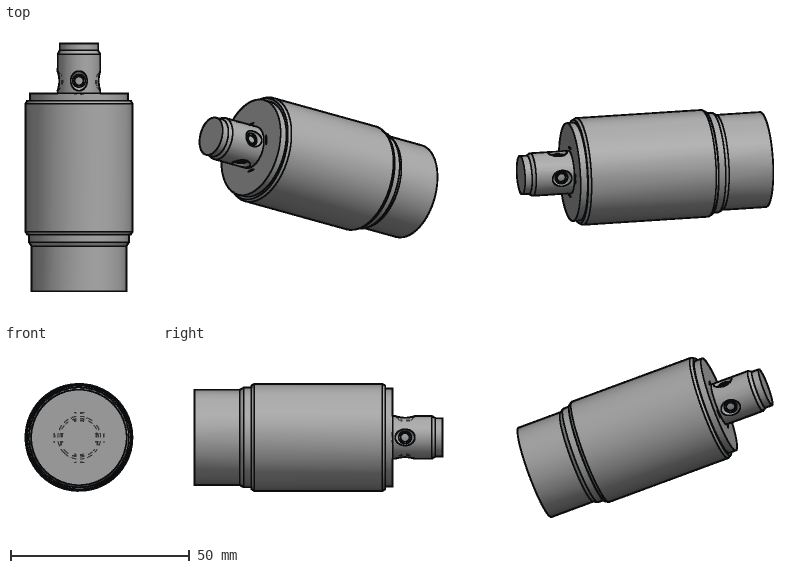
import cadquery as cq
import math

total_length = 69.4

nose_radius = 13.35
collar_radius = 14.0
body_radius = 15.0
shoulder_radius = 13.75
plug_radius = 6.0
plug_tip_radius = 5.4

nose_length = 12.7
collar_length = 3.2
body_length = 37.5
shoulder_length = 2.0
plug_tip_length = 2.0

chamfer_slope = math.tan(math.radians(30))
body_chamfer_depth = 0.5
body_chamfer_length = body_chamfer_depth / chamfer_slope
collar_chamfer_length = (collar_radius - nose_radius) / chamfer_slope
plug_chamfer_length = (plug_radius - plug_tip_radius) / chamfer_slope

window_count = 4
window_from_tip = 10.5
window_floor_radius = 1.75
window_floor_height = 5.0
window_cone_angle = 45
socket_radius = 1.25
core_radius = 4.75

collar_end = nose_length + collar_length
body_end = collar_end + body_length
shoulder_end = body_end + shoulder_length
plug_tip_start = total_length - plug_tip_length
window_y = total_length - window_from_tip


def turned_body():
    """Revolve the stepped half profile about the Y axis."""
    body_edge_radius = body_radius - body_chamfer_depth
    profile = [
        (0, 0),
        (nose_radius, 0),
        (nose_radius, nose_length),
        (collar_radius, nose_length + collar_chamfer_length),
        (collar_radius, collar_end),
        (body_edge_radius, collar_end),
        (body_radius, collar_end + body_chamfer_length),
        (body_radius, body_end - body_chamfer_length),
        (body_edge_radius, body_end),
        (shoulder_radius, body_end),
        (shoulder_radius, shoulder_end),
        (plug_radius, shoulder_end),
        (plug_radius, plug_tip_start - plug_chamfer_length),
        (plug_tip_radius, plug_tip_start),
        (plug_tip_radius, total_length),
        (0, total_length),
    ]
    return cq.Workplane("XY").polyline(profile).close().revolve(360, (0, 0, 0), (0, 1, 0))


def window_cutter():
    """Cone that opens toward +Z, with a round socket below its flat floor."""
    cone_height = 2 * (plug_radius - window_floor_height)
    cone_top_radius = window_floor_radius + cone_height * math.tan(math.radians(window_cone_angle))
    window_centre = cq.Vector(0, window_y, window_floor_height)
    cone = cq.Solid.makeCone(
        window_floor_radius, cone_top_radius, cone_height, window_centre, cq.Vector(0, 0, 1)
    )
    socket = cq.Workplane("XY", origin=(0, window_y, 0)).circle(socket_radius).extrude(window_floor_height)
    core = cq.Workplane("XZ", origin=(0, window_y, 0)).circle(core_radius)
    core = core.extrude(2 * socket_radius, both=True)
    return socket.cut(core).union(cq.Workplane(cone))


result = turned_body()
for index in range(window_count):
    turn = index * 360 / window_count
    result = result.cut(window_cutter().rotate((0, 0, 0), (0, 1, 0), turn))